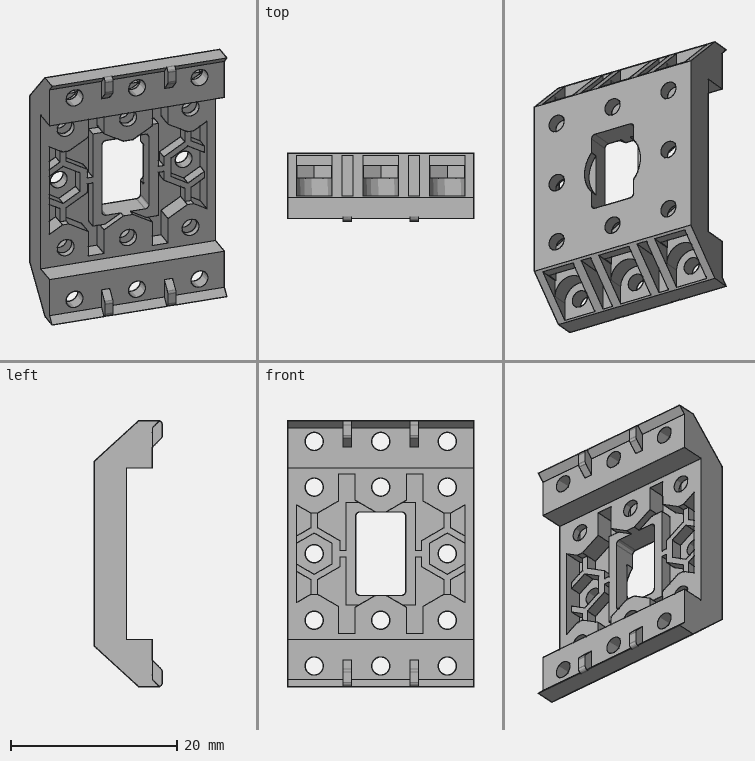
import cadquery as cq
import math


width = 22.4
height = 32.0
plate_depth = 3.9
foot_depth = 7.0
foot_height = 5.7
lip_depth = 7.87
lip_height = lip_depth - foot_depth
bevel_height = 4.9
bevel_depth = 5.35

tab_depth = 8.2
tab_width = 1.05
tab_height = 3.2
tab_spacing = 8.05
tab_radius = 0.5

hole_diameter = 2.15
column_pitch = 8.0
nut_row_z = 8.0
foot_row_z = 13.5

web_depth = 3.0
cavity_floor_depth = 1.5
cavity_half_width = 10.1
cavity_half_height = 9.6
boss_flat_radius = 2.9
boss_side_half_width = 3.1
hex_pocket_flat_radius = 2.15
rib_width = 0.8

window_width = 6.0
window_height = 10.0
window_radius = 0.5
frame_width = 8.4
frame_height = 12.35
back_recess_radius = 4.0
back_recess_depth = 1.0

pocket_depth = 5.15
pocket_width = 4.3
slot_width = 1.35
slot_spacing = 8.0
nut_flats = 4.1

half_height = height / 2
column_xs = (-column_pitch, 0, column_pitch)
slope = math.tan(math.radians(30))
boss_corner_radius = boss_flat_radius / math.cos(math.radians(30))


def at_depth(depth):
    """Plane parallel to the back face; extruding from it goes toward the front."""
    return cq.Workplane("XZ", origin=(0, -depth, 0))


def block(x, z, size_x, size_z, start, end):
    """Box centred at (x, z) that spans two depths."""
    return at_depth(start).center(x, z).rect(size_x, size_z).extrude(end - start)


def cylinder(x, z, diameter, start, end):
    return at_depth(start).center(x, z).circle(diameter / 2).extrude(end - start)


def hexagon(x, z, flat_radius, start, end):
    """Hexagonal prism with corners pointing along +Z and -Z."""
    corner_radius = flat_radius / math.cos(math.radians(30))
    corners = []
    for i in range(6):
        angle = math.radians(90 + 60 * i)
        corners.append((x + corner_radius * math.cos(angle), z + corner_radius * math.sin(angle)))
    return at_depth(start).polyline(corners).close().extrude(end - start)


def both_ends(upper):
    """A feature of the upper end together with its mirror image at the lower end."""
    return upper.union(upper.mirror("XY"))


def make_body():
    foot_z = half_height - foot_height
    bevel_z = half_height - bevel_height
    upper_outline = [
        (0, 0),
        (0, bevel_z),
        (-bevel_depth, half_height),
        (-lip_depth, half_height),
        (-foot_depth, half_height - lip_height),
        (-foot_depth, foot_z),
        (-plate_depth, foot_z),
        (-plate_depth, 0),
    ]
    upper = cq.Workplane("YZ").polyline(upper_outline).close().extrude(width / 2, both=True)
    return both_ends(upper)


def at_both_tabs(shape):
    left = shape.translate((-tab_spacing / 2, 0, 0))
    right = shape.translate((tab_spacing / 2, 0, 0))
    return left.union(right)


def make_tabs():
    """Small blocks across the lips, sloped at 45 degrees on the inner side."""
    inner_z = half_height - tab_height
    outline = [
        (-bevel_depth, half_height),
        (-tab_depth, half_height),
        (-tab_depth, inner_z + tab_depth - foot_depth),
        (-foot_depth, inner_z),
        (-bevel_depth, inner_z),
    ]
    tab = cq.Workplane("YZ").polyline(outline).close().extrude(tab_width / 2, both=True)
    tab = tab.faces("<Y").edges("|X").fillet(tab_radius)
    return both_ends(at_both_tabs(tab))


def make_lip_gaps():
    """Gaps in the lips that the rounded tabs fill."""
    gap = block(0, half_height - lip_height / 2, tab_width, lip_height, foot_depth, lip_depth)
    return both_ends(at_both_tabs(gap))


def make_boss(x, half_width):
    """Material around an upper nut hole: its 120 degree point is blunted to the rib width."""
    tip_z = nut_row_z - boss_corner_radius
    flat_z = tip_z + rib_width / 2 * slope
    side_z = tip_z + half_width * slope
    outline = [
        (x - rib_width / 2, flat_z),
        (x + rib_width / 2, flat_z),
        (x + half_width, side_z),
        (x + half_width, half_height),
        (x - half_width, half_height),
        (x - half_width, side_z),
    ]
    return at_depth(0).polyline(outline).close().extrude(plate_depth)


def make_bosses():
    center = make_boss(0, boss_side_half_width)
    upper = center.union(make_boss(-column_pitch, boss_flat_radius))
    upper = upper.union(make_boss(column_pitch, boss_flat_radius))
    return both_ends(upper)


def make_web():
    """Frame around the window, hexagon rings around the side holes and the ribs joining them."""
    web = block(0, 0, frame_width, frame_height, 0, web_depth)
    web = web.union(block(0, 0, 2 * column_pitch, rib_width, 0, web_depth))
    for x in (-column_pitch, column_pitch):
        web = web.union(block(x, 0, rib_width, 2 * nut_row_z, 0, web_depth))
        web = web.union(make_ring(x))
        web = web.cut(hexagon(x, 0, hex_pocket_flat_radius, cavity_floor_depth, web_depth))
    return web


def make_ring(x):
    """Hexagon with its upright sides moved out to the boss half-width."""
    tip_z = boss_corner_radius
    side_z = tip_z - boss_side_half_width * slope
    half = boss_side_half_width
    outline = [
        (x, tip_z),
        (x + half, side_z),
        (x + half, -side_z),
        (x, -tip_z),
        (x - half, -side_z),
        (x - half, side_z),
    ]
    return at_depth(0).polyline(outline).close().extrude(web_depth)


def make_cavities():
    cavity = block(0, 0, 2 * cavity_half_width, 2 * cavity_half_height, cavity_floor_depth, plate_depth)
    return cavity.cut(make_bosses()).cut(make_web())


def make_window():
    window = block(0, 0, window_width, window_height, 0, plate_depth)
    window = window.edges("|Y").fillet(window_radius)
    return window.union(cylinder(0, 0, 2 * back_recess_radius, 0, back_recess_depth))


def make_bevel_pocket(x):
    """Screw head pocket open through the upper bevel, with a nut slot running down from it."""
    radius = pocket_width / 2
    floor_z = foot_row_z - radius
    open_height = half_height - foot_row_z
    pocket = block(x, foot_row_z + open_height / 2, pocket_width, open_height, 0, pocket_depth)
    pocket = pocket.union(cylinder(x, foot_row_z, pocket_width, 0, pocket_depth))
    pocket = pocket.union(block(x, floor_z + radius / 2, pocket_width, radius, 0, web_depth))
    nut_slot_height = foot_row_z - nut_row_z
    nut_slot_z = nut_row_z + nut_slot_height / 2
    slot = block(x, nut_slot_z, nut_flats, nut_slot_height, cavity_floor_depth, web_depth)
    seat = hexagon(x, nut_row_z, nut_flats / 2, cavity_floor_depth, web_depth)
    return pocket.union(slot).union(seat)


def make_bevel_slot(x):
    floor_z = foot_row_z - pocket_width / 2
    slot_height = half_height - floor_z
    return block(x, floor_z + slot_height / 2, slot_width, slot_height, 0, pocket_depth)


def make_bevel_cuts():
    cuts = make_bevel_slot(-slot_spacing / 2).union(make_bevel_slot(slot_spacing / 2))
    for x in column_xs:
        cuts = cuts.union(make_bevel_pocket(x))
    return both_ends(cuts)


def make_holes():
    places = []
    for x in column_xs:
        for z in (nut_row_z, foot_row_z):
            places += [(x, z), (x, -z)]
    places += [(-column_pitch, 0), (column_pitch, 0)]
    return at_depth(0).pushPoints(places).circle(hole_diameter / 2).extrude(foot_depth)


result = (
    make_body()
    .cut(make_lip_gaps())
    .union(make_tabs())
    .cut(make_cavities())
    .cut(make_window())
    .cut(make_bevel_cuts())
    .cut(make_holes())
)